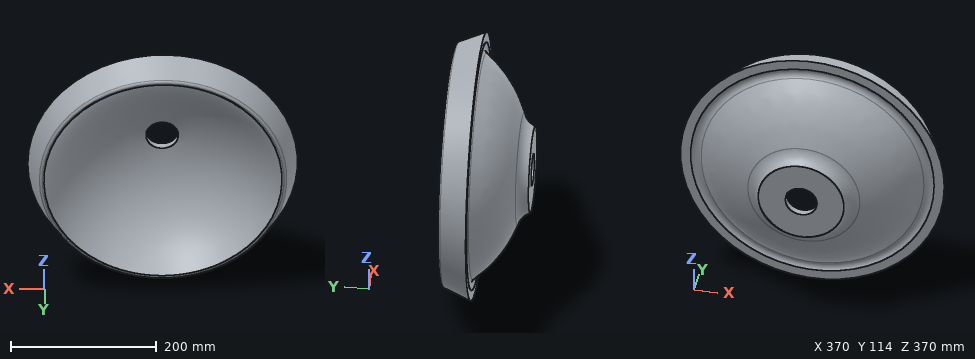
import cadquery as cq
import math


depth = 114.0
rim_height = 40.0

skirt_radius = 185.0
skirt_draft = 22.5
lip_fillet = 4.4
skirt_inner_radius = 170.5

bowl_arc_radius = 175.0
bowl_edge_drop = 0.8
bowl_edge_radius = 156.0
bowl_neck_radius = 78.4

foot_radius = 60.0
foot_height = 16.5
foot_flare_radius = 27.0
drain_radius = 22.0
floor_thickness = 10.0

mouth_radius = 163.0


def arc_middle(start, end, arc_radius):
    """Middle of the minor arc from start to end, bulging to the left of the chord."""
    chord_r = end[0] - start[0]
    chord_y = end[1] - start[1]
    chord = math.hypot(chord_r, chord_y)
    bulge = arc_radius - math.sqrt(arc_radius**2 - (chord / 2)**2)
    middle_r = (start[0] + end[0]) / 2 - bulge * chord_y / chord
    middle_y = (start[1] + end[1]) / 2 + bulge * chord_r / chord
    return (middle_r, middle_y)


def make_outer_body():
    """Solid basin with the groove between bowl and skirt, before hollowing."""
    foot_y = -depth
    neck_y = foot_y + foot_height
    skirt_top_radius = skirt_radius - rim_height * math.tan(math.radians(skirt_draft))

    foot_edge = (foot_radius, foot_y)
    neck = (bowl_neck_radius, neck_y)
    bowl_edge = (bowl_edge_radius, -rim_height - bowl_edge_drop)
    skirt_inner_edge = (skirt_inner_radius, -rim_height)

    profile = (
        cq.Workplane("XY")
        .moveTo(0, foot_y)
        .lineTo(*foot_edge)
        .threePointArc(arc_middle(foot_edge, neck, foot_flare_radius), neck)
        .threePointArc(arc_middle(bowl_edge, neck, bowl_arc_radius), bowl_edge)
        .tangentArcPoint(skirt_inner_edge, relative=False)
        .lineTo(skirt_radius, -rim_height)
        .lineTo(skirt_top_radius, 0)
        .lineTo(0, 0)
        .close()
    )
    body = profile.revolve(360, (0, 0, 0), (0, 1, 0))
    return body.faces(">Y").edges().fillet(lip_fillet)


def make_cavity():
    """Spherical hollow reaching from the mouth down to the floor."""
    cavity_depth = depth - floor_thickness
    cavity_sphere_radius = (mouth_radius**2 + cavity_depth**2) / (2 * cavity_depth)
    return (
        cq.Workplane("XY")
        .sphere(cavity_sphere_radius)
        .translate((0, cavity_sphere_radius - cavity_depth, 0))
    )


def make_drain():
    """Drain hole through the floor, along the axis."""
    return cq.Workplane("XZ").circle(drain_radius).extrude(depth)


result = make_outer_body().cut(make_cavity()).cut(make_drain())